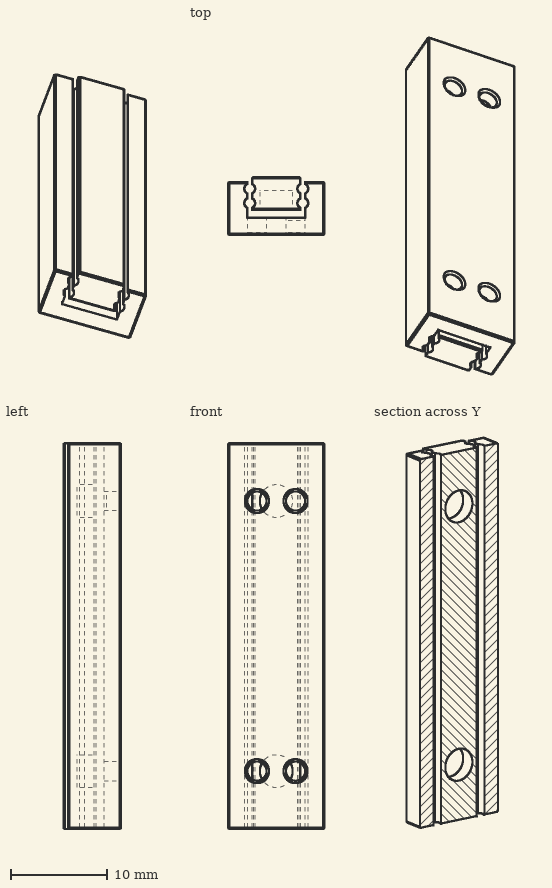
import cadquery as cq

length = 40.0
overall_height = 6.0
edge_chamfer = 0.15

rail_width = 10.0
rail_height = 5.5
floor_thickness = 1.8
channel_width = 6.0

block_width = 5.0
block_height = 3.4

groove_diameter = 1.1
groove_spacing = 1.5
upper_groove_depth = 1.2

hole_diameter = 2.0
countersink = 0.25
hole_pitch_x = 4.0
hole_pitch_z = 28.0
blind_hole_depth = 1.5
pocket_diameter = 3.4
pocket_depth = 2.0

rail_back = -overall_height / 2
rail_front = rail_back + rail_height
channel_floor = rail_back + floor_thickness
block_front = overall_height / 2
block_back = block_front - block_height
groove_x = (channel_width + block_width) / 4
upper_groove_y = block_front - upper_groove_depth
hole_levels = [length / 2 - hole_pitch_z / 2, length / 2 + hole_pitch_z / 2]


def bar(width, back, front):
    """Full-length bar centred on X between two Y levels."""
    size_y = front - back
    return cq.Workplane("XY").center(0, (back + front) / 2).rect(width, size_y).extrude(length)


def ball_grooves():
    """Full-length round rods that cut the four ball grooves, half in the rail and half in the block."""
    centres = []
    for x in (-groove_x, groove_x):
        for y in (upper_groove_y, upper_groove_y - groove_spacing):
            centres.append((x, y))
    return cq.Workplane("XY").pushPoints(centres).circle(groove_diameter / 2).extrude(length)


def disc(diameter, y, x, z):
    """Circle sketched at the level y, facing toward +Y."""
    plane = cq.Plane(origin=(x, y, z), xDir=(1, 0, 0), normal=(0, 1, 0))
    return cq.Workplane(plane).circle(diameter / 2)


def mounting_hole(x, z, depth):
    """Hole in the rail floor, widened by a conical countersink at the outer face."""
    hole = disc(hole_diameter, rail_back, x, z).extrude(depth)
    mouth = disc(hole_diameter + 2 * countersink, rail_back, x, z)
    cone = mouth.workplane(offset=countersink).circle(hole_diameter / 2).loft(ruled=True)
    return hole.union(cone)


def make_rail():
    rail = bar(rail_width, rail_back, rail_front).edges().chamfer(edge_chamfer)
    rail = rail.cut(bar(channel_width, channel_floor, block_front))
    rail = rail.cut(ball_grooves())
    for x in (-hole_pitch_x / 2, hole_pitch_x / 2):
        for z in hole_levels:
            is_blind = x > 0 and z > length / 2
            depth = blind_hole_depth if is_blind else floor_thickness
            rail = rail.cut(mounting_hole(x, z, depth))
    return rail


def make_block():
    block = bar(block_width, block_back, block_front)
    block = block.faces(">Y").edges().chamfer(edge_chamfer)
    block = block.faces("<Y").edges("|X").chamfer(edge_chamfer)
    block = block.cut(ball_grooves())
    for z in hole_levels:
        block = block.cut(disc(pocket_diameter, block_back, 0, z).extrude(pocket_depth))
    return block


rail = make_rail()
block = make_block()
result = cq.Compound.makeCompound([rail.val(), block.val()])